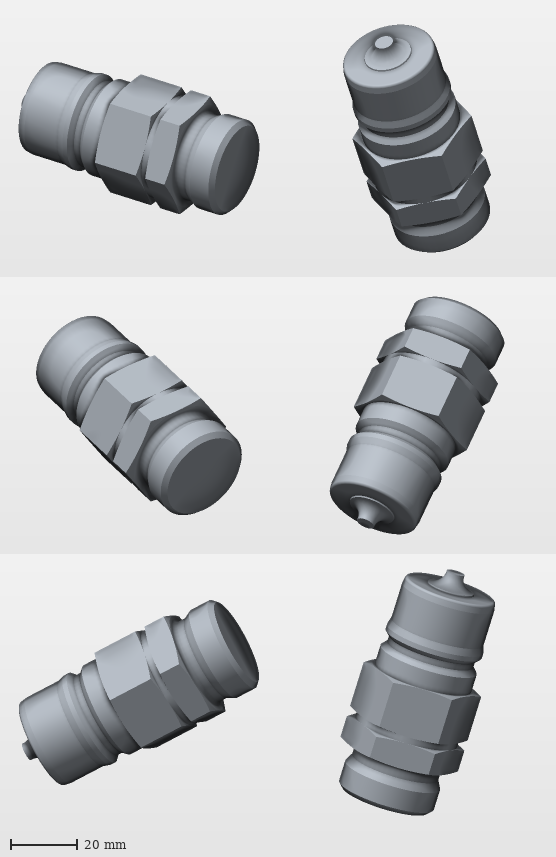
import cadquery as cq
import math

length = 73.3
tip_land = 0.4
nose_arc_end = 4.8
front_face = 5.2
front_round_end = 6.1
front_taper_end = 7.8
barrel_end = 19.05
collar_start = 21.3
collar_end = 22.9
groove_start = 24.4
groove_end = 26.4
shoulder_start = 28.15
body_hex_start = 33.85
body_hex_end = 49.3
rear_hex_start = 51.3
rear_hex_end = 59.3
neck_end = 62.8
rear_land_start = 65.45
rear_chamfer = 1.5

tip_radius = 2.8
nose_arc_radius = nose_arc_end - tip_land
nose_rim_radius = tip_radius + nose_arc_radius
nose_base_radius = 7.3
front_face_radius = 13.3
front_round_radius = 14.2
barrel_radius = 14.5
collar_radius = 15.2
groove_radius = 13.55
neck_fillet = 1.1
rear_land_radius = 14.95

across_flats = 32.0
flat_radius = across_flats / 2
corner_radius = flat_radius / math.cos(math.radians(30))
hex_chamfer_angle = 15.0
hex_chamfer = (corner_radius - flat_radius) * math.tan(math.radians(hex_chamfer_angle))


def quarter_point(center_x, center_r, radius, direction):
    """Point halfway round a quarter arc that bulges toward the axis."""
    offset = radius * math.sqrt(0.5)
    return (center_x + direction * offset, center_r - offset)


def revolve_about_x(profile):
    return profile.close().revolve(360, (0, 0, 0), (1, 0, 0))


def turned_body():
    """Complete turned core, from the nose tip to the rear end."""
    nose_arc_middle = quarter_point(tip_land, nose_rim_radius, nose_arc_radius, 1)
    round_depth = front_round_end - front_face
    round_height = front_round_radius - front_face_radius
    front_round_middle = (
        front_round_end - round_depth * math.sqrt(0.5),
        front_face_radius + round_height * math.sqrt(0.5),
    )
    neck_start = rear_hex_end + neck_fillet
    neck_rim_radius = groove_radius + neck_fillet
    neck_arc_middle = quarter_point(neck_start, neck_rim_radius, neck_fillet, -1)

    profile = (
        cq.Workplane("XY")
        .lineTo(0, tip_radius)
        .lineTo(tip_land, tip_radius)
        .threePointArc(nose_arc_middle, (nose_arc_end, nose_rim_radius))
        .lineTo(front_face, nose_base_radius)
        .lineTo(front_face, front_face_radius)
        .threePointArc(front_round_middle, (front_round_end, front_round_radius))
        .lineTo(front_taper_end, barrel_radius)
        .lineTo(barrel_end, barrel_radius)
        .lineTo(collar_start, collar_radius)
        .lineTo(collar_end, collar_radius)
        .lineTo(groove_start, groove_radius)
        .lineTo(groove_end, groove_radius)
        .lineTo(shoulder_start, collar_radius)
        .lineTo(body_hex_start, collar_radius)
        .lineTo(body_hex_start, flat_radius)
        .lineTo(rear_hex_end, flat_radius)
        .lineTo(rear_hex_end, neck_rim_radius)
        .threePointArc(neck_arc_middle, (neck_start, groove_radius))
        .lineTo(neck_end, groove_radius)
        .lineTo(rear_land_start, rear_land_radius)
        .lineTo(length - rear_chamfer, rear_land_radius)
        .lineTo(length, rear_land_radius - rear_chamfer)
        .lineTo(length, 0)
    )
    return revolve_about_x(profile)


def chamfered_hexagon(start, end):
    """Hexagonal section whose corners are turned off conically at both ends."""
    prism = (
        cq.Workplane("YZ")
        .workplane(offset=start)
        .polygon(6, 2 * corner_radius)
        .extrude(end - start)
    )
    envelope = revolve_about_x(
        cq.Workplane("XY")
        .moveTo(start, 0)
        .lineTo(start, flat_radius)
        .lineTo(start + hex_chamfer, corner_radius)
        .lineTo(end - hex_chamfer, corner_radius)
        .lineTo(end, flat_radius)
        .lineTo(end, 0)
    )
    return prism.intersect(envelope)


result = (
    turned_body()
    .union(chamfered_hexagon(body_hex_start, body_hex_end))
    .union(chamfered_hexagon(rear_hex_start, rear_hex_end))
)